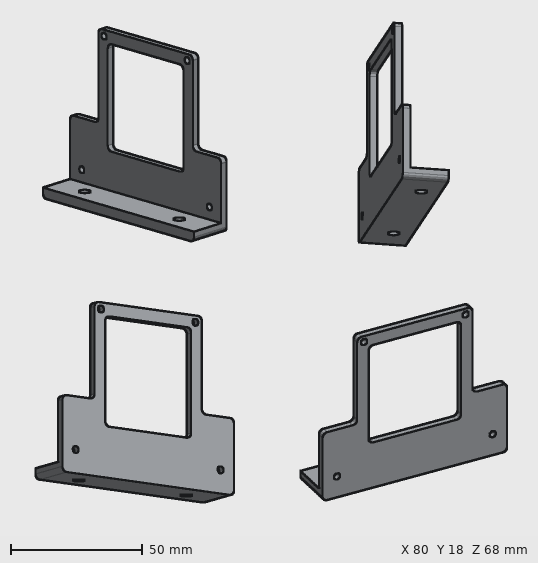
import cadquery as cq

width = 80.0
depth = 18.0
height = 68.0
plate_thickness = 3.0
flange_thickness = 4.2
shoulder_height = 30.0
frame_width = 50.0
corner_radius = 2.0

window_width = 40.0
window_bottom = 20.0
window_top = 63.0

small_hole_diameter = 2.6
frame_hole_spacing = 44.0
frame_hole_height = 65.4
lower_hole_spacing = 67.5
lower_hole_height = 9.3

flange_hole_diameter = 4.5
flange_hole_spacing = 50.0
flange_hole_setback = 7.5


def upright_box(box_width, box_depth, bottom, top):
    """Box centred on X, with its back face on Y = 0 and extending toward -Y."""
    return (
        cq.Workplane("XY", origin=(0, -box_depth / 2, bottom))
        .box(box_width, box_depth, top - bottom, centered=(True, True, False))
    )


def plate_holes(spacing, hole_height):
    """Pair of cutters passing through the upright plate along Y."""
    return (
        cq.Workplane("XZ", origin=(0, 0, hole_height))
        .pushPoints([(-spacing / 2, 0), (spacing / 2, 0)])
        .circle(small_hole_diameter / 2)
        .extrude(plate_thickness)
    )


lower_plate = upright_box(width, plate_thickness, 0, shoulder_height)
frame = upright_box(frame_width, plate_thickness, 0, height)
flange = upright_box(width, depth, 0, flange_thickness)
bracket = lower_plate.union(frame)

bracket = bracket.edges("|Y").fillet(corner_radius)
flange = flange.edges("|Y and <Z").fillet(corner_radius)
bracket = bracket.union(flange)

window = upright_box(window_width, plate_thickness, window_bottom, window_top)
bracket = bracket.cut(window.edges("|Y").fillet(corner_radius))

bracket = bracket.cut(plate_holes(frame_hole_spacing, frame_hole_height))
bracket = bracket.cut(plate_holes(lower_hole_spacing, lower_hole_height))

flange_holes = (
    cq.Workplane("XY", origin=(0, flange_hole_setback - depth, 0))
    .pushPoints([(-flange_hole_spacing / 2, 0), (flange_hole_spacing / 2, 0)])
    .circle(flange_hole_diameter / 2)
    .extrude(flange_thickness)
)
result = bracket.cut(flange_holes)